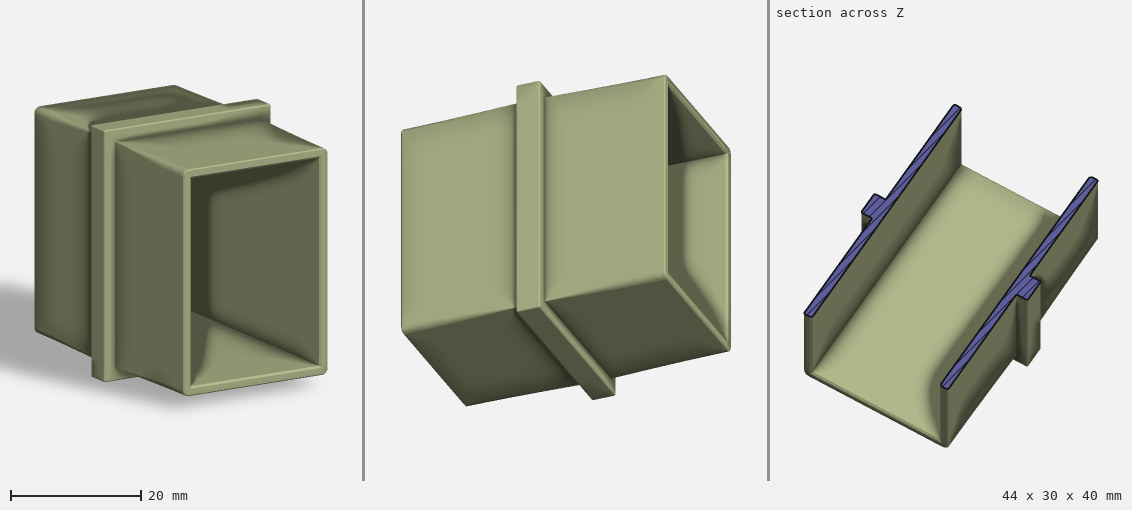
import cadquery as cq
import math

length = 44.0
flange_width = 30.0
flange_height = 40.0
flange_thickness = 4.0
tube_width = 26.0
tube_height = 36.0

wall = 1.5
flange_fillet = 0.25
outer_rim_chamfer = 0.18
bore_chamfer = 0.3
corner_radius = 1.0
vanishing_radius = 0.02
corner_sections = 6

arm_length = (length - flange_thickness) / 2


def corner_profile(x, radius, side_y, side_z):
    """Material outside a round corner, on the plane at the given x."""
    y = side_y * tube_width / 2
    z = side_z * tube_height / 2
    inset = radius * (1 - math.sqrt(0.5))
    return (
        cq.Workplane("YZ", origin=(x, 0, 0))
        .moveTo(y, z)
        .lineTo(y - side_y * radius, z)
        .threePointArc((y - side_y * inset, z - side_z * inset), (y, z - side_z * radius))
        .close()
        .wires()
        .val()
    )


def corner_cutter(side_x, side_y, side_z):
    """Round one long corner, fading from the tube end to the flange."""
    profiles = []
    for index in range(corner_sections):
        fraction = index / (corner_sections - 1)
        x = side_x * (length / 2 - fraction * arm_length)
        radius = max(corner_radius * math.cos(fraction * math.pi / 2), vanishing_radius)
        profiles.append(corner_profile(x, radius, side_y, side_z))
    return cq.Workplane(cq.Solid.makeLoft(profiles))


def outer_rim_cutter(side_x):
    """Ring that bevels the outer edge of one tube end, round corners included."""
    width = tube_width - 2 * outer_rim_chamfer
    height = tube_height - 2 * outer_rim_chamfer
    plane = cq.Plane(origin=(side_x * length / 2, 0, 0), xDir=(0, 1, 0), normal=(-side_x, 0, 0))
    kept_core = (
        cq.Workplane(plane)
        .sketch()
        .rect(width, height)
        .vertices()
        .fillet(corner_radius - outer_rim_chamfer)
        .finalize()
        .extrude(outer_rim_chamfer, taper=-45)
    )
    slab = cq.Workplane(plane).rect(flange_width, flange_height).extrude(outer_rim_chamfer)
    return slab.cut(kept_core)


tube = cq.Workplane("XY").box(length, tube_width, tube_height)
for side_x in (-1, 1):
    for side_y in (-1, 1):
        for side_z in (-1, 1):
            tube = tube.cut(corner_cutter(side_x, side_y, side_z))
    tube = tube.cut(outer_rim_cutter(side_x))

flange = (
    cq.Workplane("XY")
    .box(flange_thickness, flange_width, flange_height)
    .edges()
    .fillet(flange_fillet)
)

bore = cq.Workplane("XY").box(length, tube_width - 2 * wall, tube_height - 2 * wall)
result = tube.union(flange).cut(bore)
mouth_edges = cq.selectors.BoxSelector(
    (-length, -tube_width / 2 + wall / 2, -tube_height / 2 + wall / 2),
    (length, tube_width / 2 - wall / 2, tube_height / 2 - wall / 2),
)
result = result.faces("<X or >X").edges(mouth_edges).chamfer(bore_chamfer)